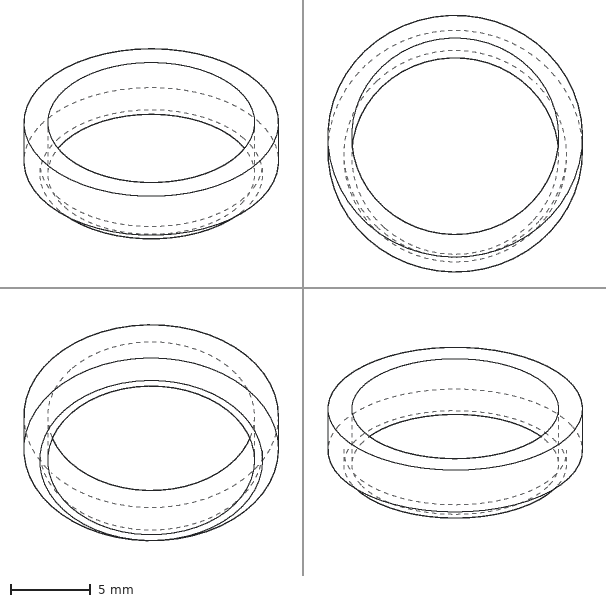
import cadquery as cq
import math

outer_radius = 16.0 / 2
spigot_radius = 14.0 / 2
bore_radius = 13.0 / 2
total_height = 4.0
spigot_height = total_height / 4
corner_fillet = 0.1

arc_center_x = spigot_radius + corner_fillet
arc_center_z = spigot_height - corner_fillet
arc_mid_offset = corner_fillet * math.sqrt(0.5)
arc_middle = (arc_center_x - arc_mid_offset, arc_center_z + arc_mid_offset)

section = (
    cq.Workplane("XZ")
    .moveTo(bore_radius, 0)
    .lineTo(spigot_radius, 0)
    .lineTo(spigot_radius, arc_center_z)
    .threePointArc(arc_middle, (arc_center_x, spigot_height))
    .lineTo(outer_radius, spigot_height)
    .lineTo(outer_radius, total_height)
    .lineTo(bore_radius, total_height)
    .close()
)

result = section.revolve(360, (0, 0, 0), (0, 1, 0))